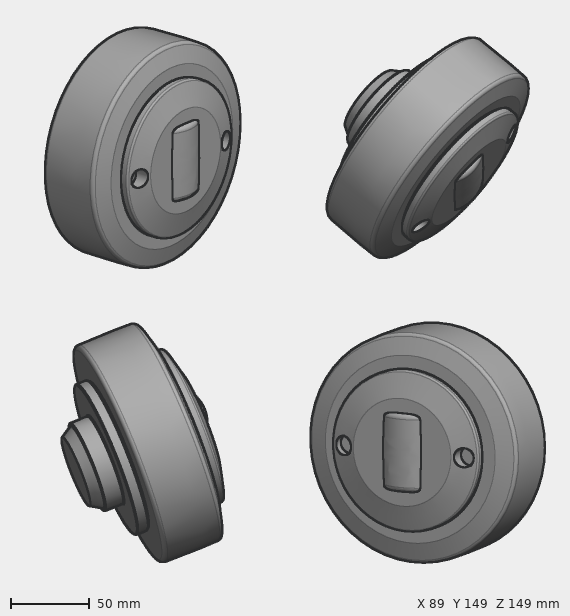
import cadquery as cq
import math

STUD_TAPER_END = 8.0
FLANGE_START = 20.4
FLANGE_END = 28.3
ROLLER_START = 28.9
ROLLER_TAPER_START = 70.3
ROLLER_END = 73.8
COVER_START = 74.5
COVER_TAPER_START = 80.5
COVER_END = 85.1
OVERALL_LENGTH = 89.0

STUD_TIP_RADIUS = 23.5
STUD_TAPER_RADIUS = 28.2
STUD_RADIUS = 60.0 / 2
STUD_CHAMFER = 0.5
STUD_ROOT_FLARE = 0.6
FLANGE_RADIUS = 103.0 / 2
FLANGE_CHAMFER = 0.6
NECK_RADIUS = 101.2 / 2

ROLLER_RADIUS = 74.5
ROLLER_CROWN = 0.3
ROLLER_ROUND = 2.8
ROLLER_SHOULDER_START = 67.6
ROLLER_TAPER_RADIUS = 72.3
ROLLER_FACE_RADIUS = 60.6
ROLLER_ROUND_BULGE = 0.6

COVER_RADIUS = 104.5 / 2
COVER_CHAMFER = 0.5
COVER_SHOULDER_START = 79.1
COVER_TAPER_RADIUS = 51.1
COVER_SHOULDER_BULGE = 0.3
COVER_FACE_RADIUS = 34.9
HOLE_DIAMETER = 12.4
HOLE_OFFSET = 42.9
HOLE_DEPTH = 10.5

SIDE_RADIUS = 25.6
SIDE_LENGTH = 50.7
SIDE_CROWN = 0.3
SIDE_ROUND = 3.3


def rounded_corner(start, end, bulge):
    """Middle point of a shallow arc bulging outward (+X, +radius)."""
    offset = bulge / math.sqrt(2)
    return ((start[0] + end[0]) / 2 + offset, (start[1] + end[1]) / 2 + offset)


def make_body():
    """Revolve stud, flange, main roller and cover about the X axis."""
    roller_edge = ROLLER_RADIUS - ROLLER_CROWN
    crown_start = ROLLER_START + ROLLER_ROUND
    crown_middle = (crown_start + ROLLER_SHOULDER_START) / 2
    round_offset = ROLLER_ROUND * (1 - math.sqrt(0.5))
    roller_shoulder = (ROLLER_SHOULDER_START, roller_edge)
    roller_taper = (ROLLER_TAPER_START, ROLLER_TAPER_RADIUS)
    cover_shoulder = (COVER_SHOULDER_START, COVER_RADIUS)
    cover_taper = (COVER_TAPER_START, COVER_TAPER_RADIUS)
    profile = (
        cq.Workplane("XY")
        .lineTo(0, STUD_TIP_RADIUS)
        .lineTo(STUD_TAPER_END - STUD_CHAMFER, STUD_TAPER_RADIUS)
        .lineTo(STUD_TAPER_END - STUD_CHAMFER, STUD_RADIUS - STUD_CHAMFER)
        .lineTo(STUD_TAPER_END, STUD_RADIUS)
        .lineTo(FLANGE_START - STUD_ROOT_FLARE, STUD_RADIUS)
        .lineTo(FLANGE_START, STUD_RADIUS + STUD_ROOT_FLARE)
        .lineTo(FLANGE_START, FLANGE_RADIUS - FLANGE_CHAMFER)
        .lineTo(FLANGE_START + FLANGE_CHAMFER, FLANGE_RADIUS)
        .lineTo(FLANGE_END - FLANGE_CHAMFER, FLANGE_RADIUS)
        .lineTo(FLANGE_END, FLANGE_RADIUS - FLANGE_CHAMFER)
        .lineTo(FLANGE_END, NECK_RADIUS)
        .lineTo(ROLLER_START, NECK_RADIUS)
        .lineTo(ROLLER_START, roller_edge - ROLLER_ROUND)
        .threePointArc(
            (ROLLER_START + round_offset, roller_edge - round_offset),
            (crown_start, roller_edge),
        )
        .threePointArc((crown_middle, ROLLER_RADIUS), roller_shoulder)
        .threePointArc(rounded_corner(roller_shoulder, roller_taper, ROLLER_ROUND_BULGE), roller_taper)
        .lineTo(ROLLER_END, ROLLER_FACE_RADIUS)
        .lineTo(ROLLER_END, NECK_RADIUS)
        .lineTo(COVER_START, NECK_RADIUS)
        .lineTo(COVER_START, COVER_RADIUS - COVER_CHAMFER)
        .lineTo(COVER_START + COVER_CHAMFER, COVER_RADIUS)
        .lineTo(*cover_shoulder)
        .threePointArc(rounded_corner(cover_shoulder, cover_taper, COVER_SHOULDER_BULGE), cover_taper)
        .lineTo(COVER_END, COVER_FACE_RADIUS)
        .lineTo(COVER_END, 0)
        .close()
    )
    return profile.revolve(360, (0, 0, 0), (1, 0, 0))


def make_side_roller():
    """Revolve the crowned side roller about its own Z axis."""
    half_length = SIDE_LENGTH / 2
    edge_radius = SIDE_RADIUS - SIDE_CROWN
    crown_end = half_length - SIDE_ROUND
    round_middle = SIDE_ROUND * math.sqrt(0.5)
    end_radius = edge_radius - SIDE_ROUND
    profile = (
        cq.Workplane("XZ")
        .moveTo(0, -half_length)
        .lineTo(end_radius, -half_length)
        .threePointArc((end_radius + round_middle, -crown_end - round_middle), (edge_radius, -crown_end))
        .threePointArc((SIDE_RADIUS, 0), (edge_radius, crown_end))
        .threePointArc((end_radius + round_middle, crown_end + round_middle), (end_radius, half_length))
        .lineTo(0, half_length)
        .close()
    )
    roller = profile.revolve(360, (0, 0, 0), (0, 1, 0))
    return roller.translate((OVERALL_LENGTH - SIDE_RADIUS, 0, 0))


def make_spanner_holes():
    """Pair of blind axial holes on opposite sides of the side roller."""
    return (
        cq.Workplane("YZ", origin=(COVER_END - HOLE_DEPTH, 0, 0))
        .pushPoints([(-HOLE_OFFSET, 0), (HOLE_OFFSET, 0)])
        .circle(HOLE_DIAMETER / 2)
        .extrude(HOLE_DEPTH)
    )


body_with_holes = make_body().cut(make_spanner_holes())
result = body_with_holes.union(make_side_roller())